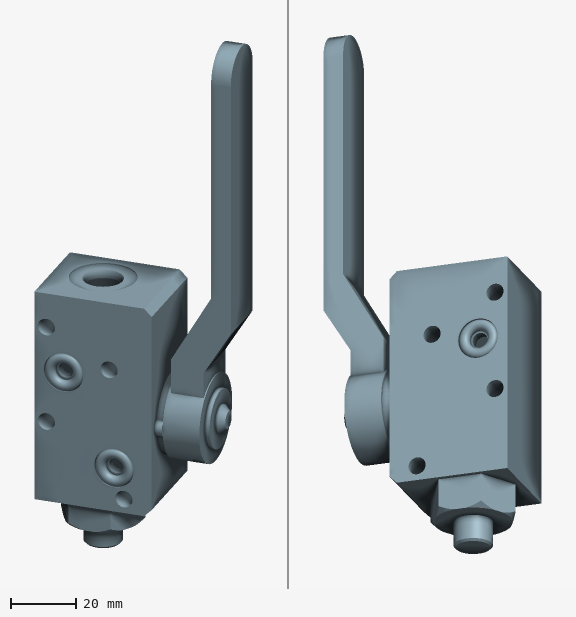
import cadquery as cq
import math

BLOCK_LENGTH = 38.5
BLOCK_WIDTH = 31.1
BLOCK_HEIGHT = 69.9
BLOCK_CHAMFER = 2.5

AXIS_Y = 1.9
PORT_X = 16.0
PIVOT_Z = 28.3

SPOTFACE_DIAMETER = 21.0
SPOTFACE_DEPTH = 0.3
PORT_MOUTH_DIAMETER = 12.7
PORT_BORE_DIAMETER = 11.1
PORT_TAPER_DEPTH = 2.5
PORT_BORE_DEPTH = 12.2
DRILL_POINT_ANGLE = 118

MOUNT_HOLE_DIAMETER = 5.5
MOUNT_HOLES_XZ = [(4.0, 58.6), (24.5, 47.5), (4.0, 26.8), (29.4, 4.7)]

RING_OUTER_RADIUS = 6.5
RING_SECTION_RADIUS = 1.7
RING_PROTRUSION = 0.7
FLANGE_PORT_DIAMETER = 4.9
FLANGE_PORT_DEPTH = 5.2
UPPER_FLANGE_PORT_XZ = (9.5, 44.2)
LOWER_FLANGE_PORT_XZ = (26.0, 14.6)

COLLAR_DIAMETER = 26.8
COLLAR_LENGTH = 2.5
STOP_PIN_DIAMETER = 5.4
STOP_PIN_OFFSET = 12.5

HEX_ACROSS_FLATS = 24.0
HEX_HEIGHT = 10.6
HEX_CHAMFER = 1.7
STUB_DIAMETER = 12.2
STUB_LENGTH = 8.3
STUB_CHAMFER = 0.7

TOTAL_HEIGHT = 173.9
TOTAL_LENGTH = 61.4
HUB_DIAMETER = 28.7
HUB_LENGTH = 12.0
CAP_DIAMETER = 19.1
CAP_LENGTH = 1.5
BUTTON_DIAMETER = 9.4
BUTTON_LENGTH = 2.6
BUTTON_CHAMFER = 1.9
ARM_WIDTH = 19.1
ARM_FOOT_LEFT_X = 41.7
ARM_FOOT_RIGHT_X = 52.5
GRIP_THICKNESS = 6.5
LEFT_BENDS_Z = (50.2, 73.0)
RIGHT_BENDS_Z = (47.5, 61.9)

HUB_X = BLOCK_LENGTH + COLLAR_LENGTH
FITTING_BOTTOM_Z = -(HEX_HEIGHT + STUB_LENGTH)
ARM_TOP_Z = FITTING_BOTTOM_Z + TOTAL_HEIGHT


def disc_along_x(start_x, diameter, length, center_y=AXIS_Y):
    """A cylinder along +X at the height of the lever pivot."""
    plane = cq.Plane(origin=(start_x, center_y, PIVOT_Z), xDir=(0, 1, 0), normal=(1, 0, 0))
    return cq.Workplane(plane).circle(diameter / 2).extrude(length)


def hole_along_y(x, z, diameter):
    """A cutter that passes through the whole width of the block."""
    plane = cq.Plane(origin=(x, -BLOCK_WIDTH / 2, z), xDir=(1, 0, 0), normal=(0, 1, 0))
    return cq.Workplane(plane).circle(diameter / 2).extrude(BLOCK_WIDTH)


def top_port():
    """Spotface, tapered mouth and drilled bore, revolved about the port axis."""
    mouth_z = BLOCK_HEIGHT - SPOTFACE_DEPTH
    bore_top_z = mouth_z - PORT_TAPER_DEPTH
    bore_bottom_z = mouth_z - PORT_BORE_DEPTH
    bore_radius = PORT_BORE_DIAMETER / 2
    point_depth = bore_radius / math.tan(math.radians(DRILL_POINT_ANGLE / 2))
    profile = (
        cq.Workplane("XZ")
        .moveTo(0, BLOCK_HEIGHT)
        .lineTo(SPOTFACE_DIAMETER / 2, BLOCK_HEIGHT)
        .lineTo(SPOTFACE_DIAMETER / 2, mouth_z)
        .lineTo(PORT_MOUTH_DIAMETER / 2, mouth_z)
        .lineTo(bore_radius, bore_top_z)
        .lineTo(bore_radius, bore_bottom_z)
        .lineTo(0, bore_bottom_z - point_depth)
        .close()
    )
    return profile.revolve(360, (0, 0, 0), (0, 1, 0)).translate((PORT_X, AXIS_Y, 0))


def flange_port_plane(position_xz, side):
    """A plane on the front (side -1) or rear (side +1) face, with its normal pointing outward."""
    x, z = position_xz
    return cq.Plane(origin=(x, side * BLOCK_WIDTH / 2, z), xDir=(1, 0, 0), normal=(0, side, 0))


def add_flange_port(block, position_xz, side):
    """Sink a blind recess into the face and set the sealing ring in it."""
    plane = flange_port_plane(position_xz, side)
    ring_center_depth = RING_SECTION_RADIUS - RING_PROTRUSION
    recess_depth = ring_center_depth + RING_SECTION_RADIUS / 2
    recess = cq.Workplane(plane).circle(RING_OUTER_RADIUS).extrude(-recess_depth)
    bore = cq.Workplane(plane).circle(FLANGE_PORT_DIAMETER / 2).extrude(-FLANGE_PORT_DEPTH)
    ring = cq.Workplane(
        cq.Solid.makeTorus(
            RING_OUTER_RADIUS - RING_SECTION_RADIUS,
            RING_SECTION_RADIUS,
            plane.toWorldCoords((0, 0, -ring_center_depth)),
            plane.zDir,
        )
    )
    return block.cut(recess).union(ring).cut(bore)


def make_block():
    block = (
        cq.Workplane("XY")
        .box(BLOCK_LENGTH, BLOCK_WIDTH, BLOCK_HEIGHT, centered=(False, True, False))
        .edges("|Y and >X")
        .chamfer(BLOCK_CHAMFER)
    )
    block = block.cut(top_port())
    for x, z in MOUNT_HOLES_XZ:
        block = block.cut(hole_along_y(x, z, MOUNT_HOLE_DIAMETER))
    for position_xz, side in [
        (UPPER_FLANGE_PORT_XZ, -1),
        (LOWER_FLANGE_PORT_XZ, -1),
        (UPPER_FLANGE_PORT_XZ, 1),
    ]:
        block = add_flange_port(block, position_xz, side)
    block = block.union(disc_along_x(BLOCK_LENGTH, COLLAR_DIAMETER, COLLAR_LENGTH))
    stop_pin = disc_along_x(BLOCK_LENGTH, STOP_PIN_DIAMETER, COLLAR_LENGTH, AXIS_Y - STOP_PIN_OFFSET)
    return block.union(stop_pin)


def make_fitting():
    """A hexagon with flats facing Y, bevelled at its lower corners, above a round stub."""
    corner_diameter = HEX_ACROSS_FLATS / math.cos(math.radians(30))
    hexagon = cq.Workplane("XY").polygon(6, corner_diameter).extrude(-HEX_HEIGHT)
    bevel = cq.Workplane("XY").circle(corner_diameter / 2).extrude(-HEX_HEIGHT)
    bevel = bevel.faces("<Z").chamfer(HEX_CHAMFER)
    stub = cq.Workplane("XY").workplane(offset=-HEX_HEIGHT).circle(STUB_DIAMETER / 2).extrude(-STUB_LENGTH)
    stub = stub.faces("<Z").chamfer(STUB_CHAMFER)
    return hexagon.intersect(bevel).union(stub).translate((PORT_X, AXIS_Y, 0))


def make_arm():
    """A flat bar with a cranked side outline and a full round at its top."""
    grip_left_x = TOTAL_LENGTH - GRIP_THICKNESS
    outline = [
        (ARM_FOOT_LEFT_X, PIVOT_Z),
        (ARM_FOOT_LEFT_X, LEFT_BENDS_Z[0]),
        (grip_left_x, LEFT_BENDS_Z[1]),
        (grip_left_x, ARM_TOP_Z),
        (TOTAL_LENGTH, ARM_TOP_Z),
        (TOTAL_LENGTH, RIGHT_BENDS_Z[1]),
        (ARM_FOOT_RIGHT_X, RIGHT_BENDS_Z[0]),
        (ARM_FOOT_RIGHT_X, PIVOT_Z),
    ]
    bar = (
        cq.Workplane("XZ", origin=(0, AXIS_Y, 0))
        .polyline(outline)
        .close()
        .extrude(ARM_WIDTH / 2, both=True)
    )
    tip_radius = ARM_WIDTH / 2
    tip_center_z = ARM_TOP_Z - tip_radius
    rounded_strip = (
        cq.Workplane("YZ", origin=(0, AXIS_Y, 0))
        .moveTo(-tip_radius, PIVOT_Z)
        .lineTo(-tip_radius, tip_center_z)
        .threePointArc((0, ARM_TOP_Z), (tip_radius, tip_center_z))
        .lineTo(tip_radius, PIVOT_Z)
        .close()
        .extrude(TOTAL_LENGTH)
    )
    return bar.intersect(rounded_strip)


def make_lever():
    cap_x = HUB_X + HUB_LENGTH
    button_x = cap_x + CAP_LENGTH
    hub = disc_along_x(HUB_X, HUB_DIAMETER, HUB_LENGTH)
    cap = disc_along_x(cap_x, CAP_DIAMETER, CAP_LENGTH)
    button = disc_along_x(button_x, BUTTON_DIAMETER, BUTTON_LENGTH).faces(">X").chamfer(BUTTON_CHAMFER)
    return hub.union(make_arm()).union(cap).union(button)


block = make_block()
fitting = make_fitting()
lever = make_lever()

result = cq.Compound.makeCompound([block.val(), fitting.val(), lever.val()])